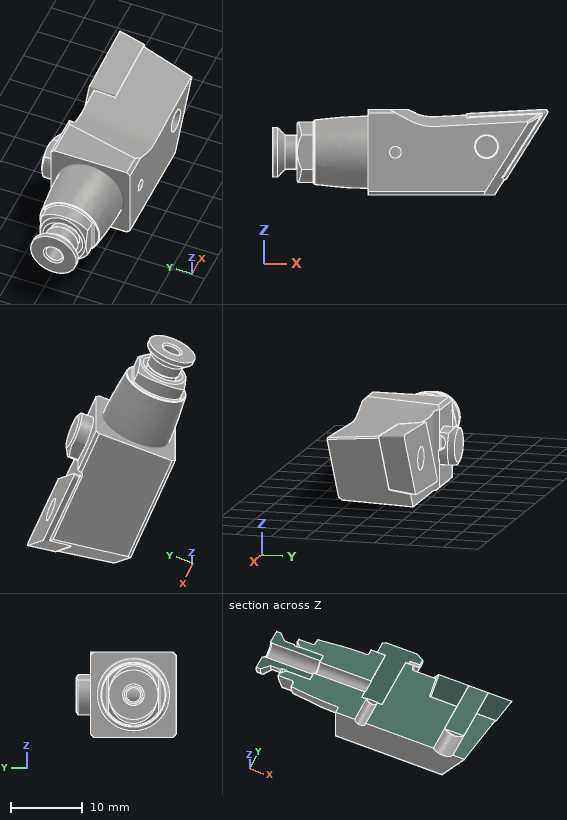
import cadquery as cq
import math


overall_length = 38.4

block_side = 12.0
half_side = block_side / 2
block_start = 13.33
edge_chamfer = 0.5
rear_step_start = 19.95
rear_step_depth = 0.8
rear_step_round = 0.4
ramp_start = 18.97
ramp_angle = 28.0
ramp_round = 6.65
nose_chamfer = 0.3

insert_edge = 11.65
insert_thickness = 3.95
insert_nose_angle = 55.0
insert_corner_radius = 0.4
insert_base_radius = 0.2
pocket_clearance = 0.15
relief_angle = 7.0
edge_rise = 3.0
lead_angle = edge_rise + insert_nose_angle
flank_setback = 0.1

collar_start = 3.38
collar_diameter = 8.5
collar_flats = 7.0
collar_face_width = 6.85
collar_face_height = 8.03
collar_chamfer_length = 0.65
collar_bevel_angle = 45.0
collar_root = 0.2
taper_start = 5.8
taper_diameter = 9.05
taper_chamfer = 0.1
taper_half_angle = 5.2
pilot_start = 12.4
pilot_diameter = 10.05
pilot_root_radius = 0.23

flange_diameter = 6.9
flange_thickness = 0.7
neck_diameter = 4.8
neck_end = 3.23
stem_diameter = 4.4
stem_mouth_diameter = 6.0
stud_end = 7.7
stud_bore_diameter = 2.5
stud_mouth_diameter = 3.0
channel_diameter = 2.0

cam_x = 17.15
cam_shaft_diameter = 3.0
cam_shaft_end = -2.0
cam_access_diameter = 1.6
cam_head_height = 2.0
cam_head_radius = 2.85
cam_nose_radius = 3.57
cam_flat_distance = 2.5
cam_flat_angle = 15.4
cam_peak_x = 0.9
cam_flat_end_x = 2.73
cam_top_radius = 2.4
cam_bevel_angle = 30.0
cam_groove_diameter = 2.0
cam_groove_z = 0.92
cam_groove_depth = 1.55

screw_diameter = 3.3
screw_end = -2.3
screw_chamfer = 0.1

rise = math.radians(edge_rise)
lead = math.radians(lead_angle)
bisector = (lead + rise) / 2
half_nose = (lead - rise) / 2
relief = math.tan(math.radians(relief_angle))
nose_reach = insert_corner_radius / math.sin(half_nose)
sharp_nose_x = overall_length - insert_corner_radius + nose_reach * math.cos(bisector)
sharp_nose_z = half_side - insert_corner_radius + nose_reach * math.sin(bisector)
screw_x = sharp_nose_x - insert_edge * (math.cos(rise) + math.cos(lead)) / 2
screw_z = sharp_nose_z - insert_edge * (math.sin(rise) + math.sin(lead)) / 2


def rod_x(diameter, start, end):
    """Cylinder on the shank axis."""
    return cq.Workplane("YZ", origin=(start, 0, 0)).circle(diameter / 2).extrude(end - start)


def rod_y(diameter, x, z, start, end):
    """Cylinder parallel to Y."""
    return cq.Workplane("XZ", origin=(x, start, z)).circle(diameter / 2).extrude(start - end)


def revolved(profile):
    """Turn a profile drawn in X and radius about the shank axis."""
    return profile.close().revolve(360, (0, 0, 0), (1, 0, 0))


def slanted_prism(outline, drift):
    """Sweep an XZ outline from the rear face past the front one, shifting it by `drift` per unit of -Y."""
    depth = 2 * block_side
    wire = outline.close().wires().val()
    sweep = cq.Vector(drift[0] * depth, -depth, drift[1] * depth)
    return cq.Workplane(cq.Solid.extrudeLinear(wire, [], sweep))


def rhombus(y, edge, inset, radius):
    """Closed insert outline at height `y`, offset inwards by `inset`, with corners of `radius`."""
    side = edge - 2 * inset / math.sin(lead - rise)
    nose_shift = inset / math.sin(half_nose)
    nose = cq.Vector(
        sharp_nose_x - nose_shift * math.cos(bisector), y, sharp_nose_z - nose_shift * math.sin(bisector)
    )
    along_top = cq.Vector(-side * math.cos(rise), 0, -side * math.sin(rise))
    along_lead = cq.Vector(-side * math.cos(lead), 0, -side * math.sin(lead))
    corners = [nose, nose + along_top, nose + along_top + along_lead, nose + along_lead]
    outline = cq.Wire.makePolygon(corners, close=True)
    if radius == 0:
        return outline
    return outline.fillet2D(radius, outline.Vertices())


def insert_plate(edge, rear_radius, base_radius):
    """Plate between the rear face and the pocket floor, narrowing by the relief angle."""
    rear = rhombus(half_side, edge, 0, rear_radius)
    base = rhombus(half_side - insert_thickness, edge, insert_thickness * relief, base_radius)
    return cq.Workplane(cq.Solid.makeLoft([rear, base], True))


def make_insert():
    plate = insert_plate(insert_edge, insert_corner_radius, insert_base_radius)
    return plate.cut(rod_y(screw_diameter, screw_x, screw_z, half_side, -half_side))


def make_screw():
    screw = rod_y(screw_diameter, screw_x, screw_z, half_side, screw_end)
    return screw.faces("<Y").chamfer(screw_chamfer)


def top_cutter():
    """Material above the chip ramp and the sloping top, on the insert's top flank."""
    ramp_slope = math.tan(math.radians(ramp_angle))
    rise_slope = math.tan(rise)
    floor_at_nose = sharp_nose_z - flank_setback / math.cos(rise)
    floor_at_ramp = floor_at_nose - (sharp_nose_x - ramp_start) * rise_slope
    valley_x = ramp_start + (half_side - floor_at_ramp) / (ramp_slope + rise_slope)
    valley_z = half_side - (valley_x - ramp_start) * ramp_slope
    turn = math.radians(ramp_angle) + rise
    tangent = ramp_round * math.tan(turn / 2)
    headroom = block_side
    sky_z = half_side + headroom
    sky_x = ramp_start - headroom / ramp_slope
    end_x = sharp_nose_x + headroom
    arc_start = (
        valley_x - tangent * math.cos(math.radians(ramp_angle)),
        valley_z + tangent * math.sin(math.radians(ramp_angle)),
    )
    arc_end = (valley_x + tangent * math.cos(rise), valley_z + tangent * math.sin(rise))
    outline = (
        cq.Workplane("XZ", origin=(0, half_side, 0))
        .moveTo(sky_x, sky_z)
        .lineTo(*arc_start)
        .tangentArcPoint(arc_end, relative=False)
        .lineTo(end_x, floor_at_nose + headroom * rise_slope)
        .lineTo(end_x, sky_z)
    )
    return slanted_prism(outline, (0, -relief / math.cos(rise)))


def front_cutter():
    """Material ahead of the sloping front face, on the insert's leading flank."""
    reach = 2 * block_side
    top_x = sharp_nose_x - flank_setback / math.sin(lead) + reach / math.tan(lead)
    low_x = top_x - 2 * reach / math.tan(lead)
    outline = (
        cq.Workplane("XZ", origin=(0, half_side, 0))
        .moveTo(top_x, sharp_nose_z + reach)
        .lineTo(low_x, sharp_nose_z - reach)
        .lineTo(top_x + reach, sharp_nose_z - reach)
        .lineTo(top_x + reach, sharp_nose_z + reach)
    )
    return slanted_prism(outline, (-relief / math.sin(lead), 0))


def make_block():
    length = sharp_nose_x + block_side - block_start
    block = (
        cq.Workplane("YZ", origin=(block_start, 0, 0))
        .rect(block_side, block_side)
        .extrude(length)
        .edges("|X")
        .chamfer(edge_chamfer)
    )
    rear_step = (
        cq.Workplane("XY")
        .box(length, block_side, 2 * block_side, centered=(False, False, True))
        .edges("|Z and <X and <Y")
        .fillet(rear_step_round)
        .translate((rear_step_start, half_side - rear_step_depth, 0))
    )
    block = block.cut(rear_step).cut(top_cutter()).cut(front_cutter())
    return block.edges(">X").chamfer(nose_chamfer)


def make_collar():
    between_flats = cq.Workplane("XY").box(overall_length, collar_flats, block_side)
    flatted = rod_x(collar_diameter, collar_start, taper_start).intersect(between_flats)
    bevel = (
        cq.Workplane("YZ", origin=(collar_start, 0, 0))
        .ellipse(collar_face_width / 2, collar_face_height / 2)
        .extrude(collar_chamfer_length, taper=-collar_bevel_angle)
    )
    rest = rod_x(block_side, collar_start + collar_chamfer_length, taper_start)
    return flatted.intersect(bevel.union(rest))


def make_collar_root():
    """Sloped root that widens the flatted collar section up to the taper face."""
    flatted_section = cq.Sketch().circle(collar_diameter / 2).rect(collar_flats, block_side, mode="i")
    return (
        cq.Workplane("YZ", origin=(taper_start - collar_root, 0, 0))
        .placeSketch(flatted_section)
        .extrude(collar_root, taper=-collar_bevel_angle)
    )


def make_shank():
    taper_radius = taper_diameter / 2
    pilot_radius = pilot_diameter / 2
    taper_slope = math.tan(math.radians(taper_half_angle))
    return revolved(
        cq.Workplane("XY")
        .moveTo(taper_start, 0)
        .lineTo(taper_start, taper_radius - taper_chamfer)
        .lineTo(taper_start + taper_chamfer, taper_radius)
        .spline([(pilot_start, pilot_radius)], tangents=[(1, taper_slope), (1, 0)], includeCurrent=True)
        .lineTo(block_start - pilot_root_radius, pilot_radius)
        .radiusArc((block_start, pilot_radius + pilot_root_radius), -pilot_root_radius)
        .lineTo(block_start, 0)
    )


def stem_mouth():
    """Conical mouth around the stud stem in the collar face."""
    depth = (stem_mouth_diameter - stem_diameter) / 2
    return revolved(
        cq.Workplane("XY")
        .moveTo(collar_start, 0)
        .lineTo(collar_start, stem_mouth_diameter / 2)
        .lineTo(collar_start + depth, stem_diameter / 2)
        .lineTo(collar_start + depth, 0)
    )


def make_holder():
    holder = make_block().union(make_shank()).union(make_collar()).union(make_collar_root())
    cuts = [
        stem_mouth(),
        rod_x(stem_diameter, collar_start, stud_end),
        rod_x(channel_diameter, stud_end, cam_x),
        rod_y(cam_shaft_diameter, cam_x, 0, half_side, cam_shaft_end),
        rod_y(cam_access_diameter, cam_x, 0, cam_shaft_end, -half_side),
        rod_y(screw_diameter, screw_x, screw_z, half_side, -half_side),
        insert_plate(insert_edge + pocket_clearance, 0, 0),
    ]
    for cut in cuts:
        holder = holder.cut(cut)
    return holder


def make_stud():
    flange_radius = flange_diameter / 2
    neck_radius = neck_diameter / 2
    stem_radius = stem_diameter / 2
    bore_radius = stud_bore_diameter / 2
    mouth_radius = stud_mouth_diameter / 2
    return revolved(
        cq.Workplane("XY")
        .moveTo(0, mouth_radius)
        .lineTo(0, flange_radius)
        .lineTo(flange_thickness, flange_radius)
        .lineTo(flange_thickness + flange_radius - neck_radius, neck_radius)
        .lineTo(neck_end, neck_radius)
        .lineTo(neck_end + neck_radius - stem_radius, stem_radius)
        .lineTo(stud_end, stem_radius)
        .lineTo(stud_end, bore_radius)
        .lineTo(mouth_radius - bore_radius, bore_radius)
    )


def make_cam_pin():
    """Shaft with a lobed head; two flats and a wider nose stand off its round back."""
    tilt = math.radians(cam_flat_angle)
    half_flat = math.sqrt(cam_head_radius**2 - cam_flat_distance**2)
    flat_start = (
        -cam_flat_distance * math.sin(tilt) - half_flat * math.cos(tilt),
        cam_flat_distance * math.cos(tilt) - half_flat * math.sin(tilt),
    )
    peak = (cam_peak_x, flat_start[1] + (cam_peak_x - flat_start[0]) * math.tan(tilt))
    nose_z = math.sqrt(cam_nose_radius**2 - cam_flat_end_x**2)
    lobes = (
        cq.Workplane("XZ", origin=(cam_x, half_side + cam_head_height, 0))
        .moveTo(*flat_start)
        .lineTo(*peak)
        .lineTo(cam_flat_end_x, nose_z)
        .threePointArc((cam_nose_radius, 0), (cam_flat_end_x, -nose_z))
        .lineTo(0, -cam_head_radius)
        .threePointArc((-cam_head_radius, 0), flat_start)
        .close()
        .extrude(cam_head_height)
    )
    bevel = (
        cq.Workplane("XZ", origin=(cam_x, half_side + cam_head_height, 0))
        .circle(cam_top_radius)
        .extrude(cam_head_height, taper=cam_bevel_angle - 90)
    )
    groove = (
        cq.Workplane("YZ", origin=(cam_x + cam_nose_radius - cam_groove_depth, half_side, cam_groove_z))
        .circle(cam_groove_diameter / 2)
        .extrude(cam_groove_depth)
    )
    shaft = rod_y(cam_shaft_diameter, cam_x, 0, half_side, cam_shaft_end)
    return lobes.intersect(bevel).cut(groove).union(shaft)


holder = make_holder()
stud = make_stud()
insert = make_insert()
screw = make_screw()
cam_pin = make_cam_pin()

bodies = [holder, stud, insert, screw, cam_pin]
result = cq.Compound.makeCompound([body.solids().val() for body in bodies])